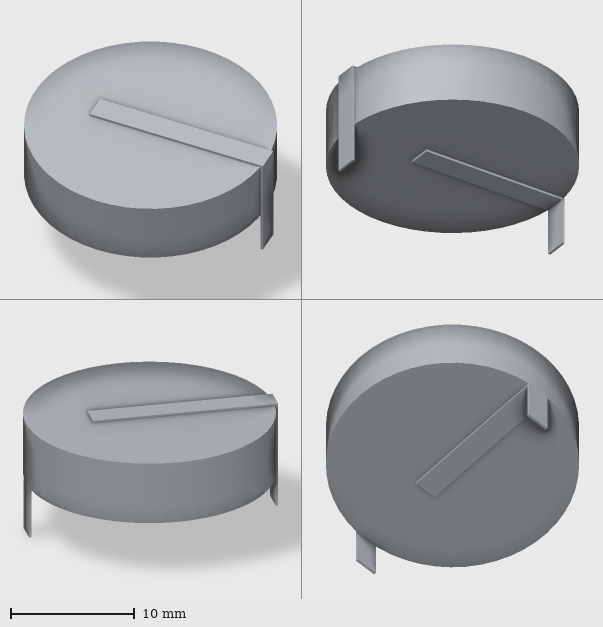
import cadquery as cq

cell_diameter = 20.5
cell_height = 5.25

tab_width = 2.03
tab_thickness = 0.2
overall_length = 20.7
overall_height = 9.8
top_tab_length = 15.4
bottom_tab_length = 13.48
leg_end_offset = 0.79

left_x = -cell_diameter / 2
right_x = left_x + overall_length
top_z = cell_height + tab_thickness
low_z = top_z - overall_height


def tab_box(x_min, x_max, z_min, z_max):
    """Flat piece of tab, centred across Y."""
    return cq.Workplane("XY").box(
        x_max - x_min, tab_width, z_max - z_min, centered=(False, True, False)
    ).translate((x_min, 0, z_min))


def top_tab():
    strip = tab_box(right_x - top_tab_length, right_x, cell_height, top_z)
    leg = tab_box(right_x - tab_thickness, right_x, low_z + leg_end_offset, top_z)
    return strip.union(leg)


def bottom_tab():
    strip = tab_box(left_x, left_x + bottom_tab_length, -tab_thickness, 0)
    leg = tab_box(left_x, left_x + tab_thickness, low_z, 0)
    return strip.union(leg)


cell = cq.Workplane("XY").circle(cell_diameter / 2).extrude(cell_height)
result = cell.union(top_tab()).union(bottom_tab())